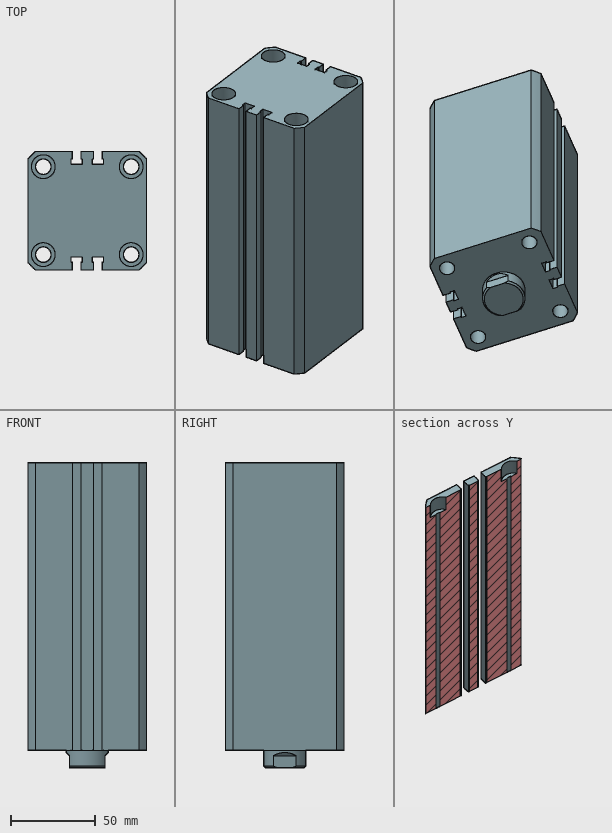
import cadquery as cq
import math

TOTAL_LENGTH = 180.0
HOUSING_WIDTH = 70.0
ROD_PROJECTION = 10.3
HOUSING_LENGTH = TOTAL_LENGTH - ROD_PROJECTION
CORNER_CIRCLE_DIAMETER = 92.9

HOLE_SPACING = 51.8
HOLE_DIAMETER = 9.0
COUNTERBORE_DIAMETER = 14.0
COUNTERBORE_DEPTH = 10.0

SLOT_SPACING = 12.6
SLOT_MOUTH_WIDTH = 5.0
SLOT_UNDERCUT_WIDTH = 6.5
SLOT_DEPTH = 7.5
SLOT_UNDERCUT_DEPTH = 2.9

ROD_DIAMETER = 25.0
ROD_END_CHAMFER = 1.0
ROD_FLAT_WIDTH = 21.0
ROD_FLAT_LENGTH = 7.0
FLAT_RUNOUT_ANGLE = 45.0


def make_slot(x_center, side):
    """Cutter for one full-length slot; side is -1 for the -Y side and +1 for the +Y side."""
    face_y = side * HOUSING_WIDTH / 2
    mouth = (
        cq.Workplane("XY")
        .center(x_center, face_y - side * SLOT_DEPTH / 2)
        .rect(SLOT_MOUTH_WIDTH, SLOT_DEPTH)
        .extrude(HOUSING_LENGTH)
    )
    undercut = (
        cq.Workplane("XY")
        .center(x_center, face_y - side * (SLOT_DEPTH - SLOT_UNDERCUT_DEPTH / 2))
        .rect(SLOT_UNDERCUT_WIDTH, SLOT_UNDERCUT_DEPTH)
        .extrude(HOUSING_LENGTH)
    )
    return mouth.union(undercut)


def make_housing():
    """Square profile with its corners turned off to a circle, its bottom face at Z = 0."""
    corner_turning = cq.Workplane("XY").circle(CORNER_CIRCLE_DIAMETER / 2).extrude(HOUSING_LENGTH)
    housing = (
        cq.Workplane("XY")
        .rect(HOUSING_WIDTH, HOUSING_WIDTH)
        .extrude(HOUSING_LENGTH)
        .intersect(corner_turning)
        .faces(">Z")
        .workplane()
        .rect(HOLE_SPACING, HOLE_SPACING, forConstruction=True)
        .vertices()
        .cboreHole(HOLE_DIAMETER, COUNTERBORE_DIAMETER, COUNTERBORE_DEPTH)
    )
    for side in (-1, 1):
        for x_center in (-SLOT_SPACING / 2, SLOT_SPACING / 2):
            housing = housing.cut(make_slot(x_center, side))
    return housing


def make_flat_cutter(side):
    """Cutter for one wrench flat with a sloping run-out; side is the sign of X it lies on."""
    flat_x = ROD_FLAT_WIDTH / 2
    rim_x = ROD_DIAMETER / 2
    flat_top_z = ROD_FLAT_LENGTH - ROD_PROJECTION
    runout_z = flat_top_z + (rim_x - flat_x) * math.tan(math.radians(FLAT_RUNOUT_ANGLE))
    return (
        cq.Workplane("XZ")
        .moveTo(side * flat_x, -ROD_PROJECTION)
        .lineTo(side * flat_x, flat_top_z)
        .lineTo(side * rim_x, runout_z)
        .lineTo(side * rim_x, -ROD_PROJECTION)
        .close()
        .extrude(ROD_DIAMETER / 2, both=True)
    )


def make_rod():
    """Round rod end standing on the bottom face of the housing, with two wrench flats."""
    rod = (
        cq.Workplane("XY")
        .circle(ROD_DIAMETER / 2)
        .extrude(-ROD_PROJECTION)
        .faces("<Z")
        .chamfer(ROD_END_CHAMFER)
    )
    for side in (-1, 1):
        rod = rod.cut(make_flat_cutter(side))
    return rod


housing = make_housing()
rod = make_rod()

result = cq.Compound.makeCompound([housing.val(), rod.val()])